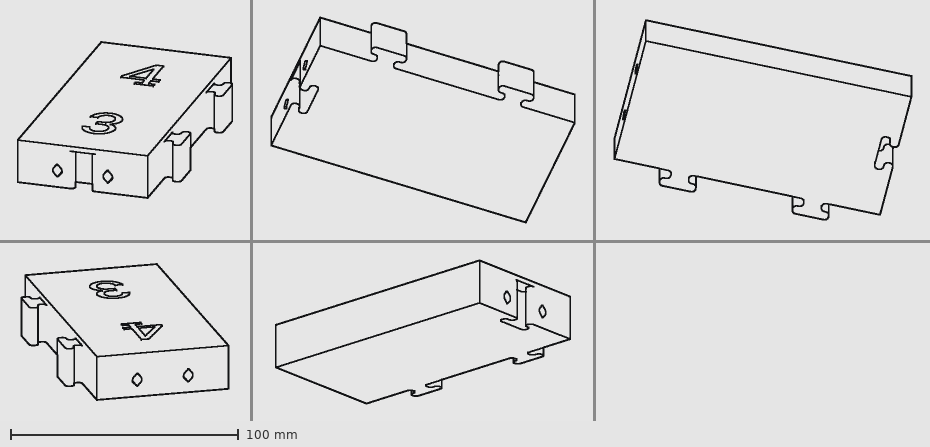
import cadquery as cq
import math

TILE_WIDTH = 60.0
TILE_LENGTH = 120.0
TILE_HEIGHT = 20.0
MIDDLE_X = TILE_WIDTH / 2

CONNECTOR_REACH = 8.0
HEAD_WIDTH = 16.3
HEAD_THICKNESS = CONNECTOR_REACH / 2
NECK_WIDTH = 8.0
CONNECTOR_ROUND = 1.8
CONNECTOR_HEIGHT = 17.4
SLOT_HEIGHT = 17.8
CONNECTOR_YS = (TILE_LENGTH / 4, TILE_LENGTH * 3 / 4)

HOLE_DIAMETER = 4.2
HOLE_SPACING = 23.3
HOLE_Z = 7.8

INLAY_DEPTH = 1.0
THREE_Y, FOUR_Y = CONNECTOR_YS


def connector_shape(height):
    """T-shaped prism growing along +X from the plane X = 0, centred on Y = 0."""
    r = CONNECTOR_ROUND
    bend = r * (1 - math.sqrt(0.5))
    neck = NECK_WIDTH / 2
    head = HEAD_WIDTH / 2
    back = CONNECTOR_REACH - HEAD_THICKNESS
    front = CONNECTOR_REACH
    half_prism = (
        cq.Workplane("XY")
        .lineTo(0, neck + r)
        .threePointArc((bend, neck + bend), (r, neck))
        .lineTo(back - r, neck)
        .threePointArc((back - bend, neck + bend), (back, neck + r))
        .lineTo(back, head - r)
        .threePointArc((back + bend, head - bend), (back + r, head))
        .lineTo(front - r, head)
        .threePointArc((front - bend, head - bend), (front, head - r))
        .lineTo(front, 0)
        .close()
        .extrude(height)
    )
    return half_prism.union(half_prism.mirror("XZ")).clean()


def long_hole(x):
    """Hole along the whole length: round at the sides, running tangentially into a point above and below."""
    radius = HOLE_DIAMETER / 2
    tip = radius * math.sqrt(2)
    tangent = radius * math.sqrt(0.5)
    return (
        cq.Workplane("XZ", origin=(x, TILE_LENGTH, HOLE_Z))
        .moveTo(0, tip)
        .lineTo(tangent, tangent)
        .threePointArc((radius, 0), (tangent, -tangent))
        .lineTo(0, -tip)
        .lineTo(-tangent, -tangent)
        .threePointArc((-radius, 0), (-tangent, tangent))
        .close()
        .extrude(TILE_LENGTH)
    )


def inlay_plane(y):
    """Plane of an inlay's bottom face, centred on the digit."""
    return cq.Workplane("XY", origin=(MIDDLE_X, y, TILE_HEIGHT - INLAY_DEPTH))


def make_three():
    """Digit 3, drawn around its own centre."""
    outer_tip, inner_tip, tip_y = -7.9, -4.4, 5.8
    bar_end, bar_bend, bar_half = -3.1, 0.6, 1.3
    crown_x = -0.5
    outer_top, inner_top = 12.2, 9.5
    outer_bottom, inner_bottom = -12.5, -9.7
    outer_upper_side, outer_upper_flank = (6.8, 5.3), (5.9, 2.3)
    outer_lower_side, outer_lower_flank = (7.1, -tip_y), (6.0, -2.2)
    inner_upper_side, inner_upper_flank = (3.5, 5.3), (2.8, 2.9)
    inner_lower_side, inner_lower_flank = (3.8, -5.5), (2.9, -2.6)
    waist = (3.0, 0.1)
    return (
        inlay_plane(THREE_Y)
        .moveTo(inner_tip, tip_y)
        .lineTo(outer_tip, tip_y)
        .threePointArc((crown_x, outer_top), outer_upper_side)
        .threePointArc(outer_upper_flank, waist)
        .threePointArc(outer_lower_flank, outer_lower_side)
        .threePointArc((crown_x, outer_bottom), (outer_tip, -tip_y))
        .lineTo(inner_tip, -tip_y)
        .threePointArc((crown_x, inner_bottom), inner_lower_side)
        .threePointArc(inner_lower_flank, (bar_bend, -bar_half))
        .lineTo(bar_end, -bar_half)
        .lineTo(bar_end, bar_half)
        .lineTo(bar_bend, bar_half)
        .threePointArc(inner_upper_flank, inner_upper_side)
        .threePointArc((crown_x, inner_top), (inner_tip, tip_y))
        .close()
        .extrude(INLAY_DEPTH)
    )


def make_four():
    """Digit 4 with a foot, drawn around its own centre."""
    top, bottom = 11.6, -11.9
    slope_top_x, slope_bottom_y = 1.3, -4.8
    stem_left, stem_right = 1.7, 4.7
    bar_top, bar_bottom = -4.2, -6.5
    bar_left, bar_right = -9.2, 8.2
    foot_left, foot_right, foot_top = -1.3, 7.4, -9.8
    window_left, window_top = -5.8, 7.1
    outline = [
        (slope_top_x, top),
        (stem_right, top),
        (stem_right, bar_top),
        (bar_right, bar_top),
        (bar_right, bar_bottom),
        (stem_right, bar_bottom),
        (stem_right, foot_top),
        (foot_right, foot_top),
        (foot_right, bottom),
        (foot_left, bottom),
        (foot_left, foot_top),
        (stem_left, foot_top),
        (stem_left, bar_bottom),
        (bar_left, bar_bottom),
        (bar_left, slope_bottom_y),
    ]
    window = [(stem_left, window_top), (stem_left, bar_top), (window_left, bar_top)]
    digit = inlay_plane(FOUR_Y).polyline(outline).close()
    return digit.polyline(window).close().extrude(INLAY_DEPTH)


def make_tile(inlays):
    """Block with its connectors, slot, long holes and a recess for each inlay."""
    tile = cq.Workplane("XY").box(TILE_WIDTH, TILE_LENGTH, TILE_HEIGHT, centered=False)
    for y in CONNECTOR_YS:
        tile = tile.union(connector_shape(CONNECTOR_HEIGHT).translate((TILE_WIDTH, y, 0)))

    slot = connector_shape(SLOT_HEIGHT).rotate((0, 0, 0), (0, 0, 1), 90)
    tile = tile.cut(slot.translate((MIDDLE_X, 0, 0)))

    for side in (-1, 1):
        tile = tile.cut(long_hole(MIDDLE_X + side * HOLE_SPACING / 2))
    for inlay in inlays:
        tile = tile.cut(inlay)
    return tile


three = make_three()
four = make_four()
tile = make_tile([three, four])

result = cq.Compound.makeCompound([tile.val(), three.val(), four.val()])